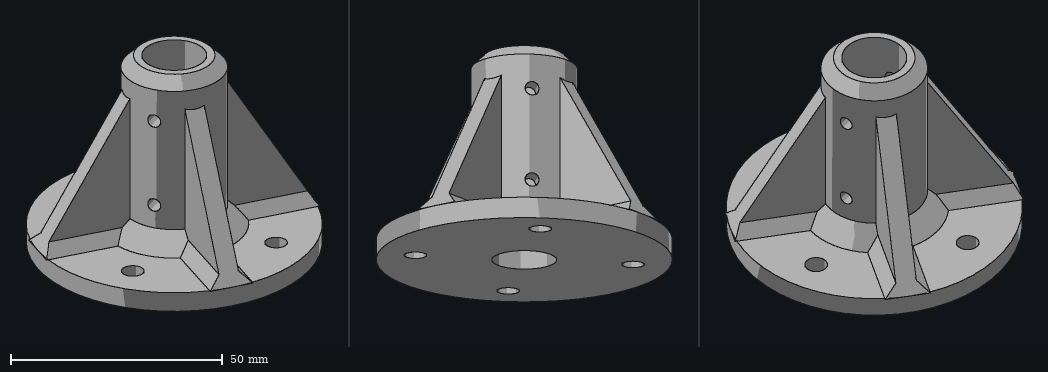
import cadquery as cq
import math

flange_diameter = 70.0
flange_thickness = 5.05
bolt_circle_diameter = 51.95
bolt_hole_diameter = 5.3
bolt_hole_count = 4

total_height = 50.0
tube_diameter = 25.3
bore_diameter = 15.3
tube_top_chamfer = 3.0
tube_foot_chamfer = 5.0

rib_count = 4
rib_thickness = 5.0
rib_foot_chamfer = 3.0
rib_top_height = 41.7

cross_hole_diameter = 3.3
cross_hole_heights = (16.1, 38.6)
cross_hole_angle = -45.0

flange_radius = flange_diameter / 2
tube_radius = tube_diameter / 2


def make_hub():
    """Flange, conical foot, tube and chamfered rim as one turned body."""
    return (
        cq.Workplane("XZ")
        .moveTo(0, 0)
        .lineTo(flange_radius, 0)
        .lineTo(flange_radius, flange_thickness)
        .lineTo(tube_radius + tube_foot_chamfer, flange_thickness)
        .lineTo(tube_radius, flange_thickness + tube_foot_chamfer)
        .lineTo(tube_radius, total_height - tube_top_chamfer)
        .lineTo(tube_radius - tube_top_chamfer, total_height)
        .lineTo(0, total_height)
        .close()
        .revolve(360, (0, 0, 0), (0, 1, 0))
    )


def make_rib():
    """Rib along +X: a wall with a flared foot, trimmed by its sloping edge."""
    half_wall = rib_thickness / 2
    half_foot = half_wall + rib_foot_chamfer
    foot_top = flange_thickness + rib_foot_chamfer
    wall_with_foot = (
        cq.Workplane("YZ")
        .polyline([
            (-half_foot, flange_thickness),
            (half_foot, flange_thickness),
            (half_wall, foot_top),
            (half_wall, total_height),
            (-half_wall, total_height),
            (-half_wall, foot_top),
        ])
        .close()
        .extrude(flange_radius)
    )

    slope = (rib_top_height - flange_thickness) / (flange_radius - tube_radius)
    inner_radius = math.sqrt(tube_radius**2 - half_wall**2)
    inner_height = flange_thickness + slope * (flange_radius - inner_radius)
    side_profile = (
        cq.Workplane("XZ")
        .polyline([
            (0, flange_thickness),
            (flange_radius, flange_thickness),
            (inner_radius, inner_height),
            (0, inner_height),
        ])
        .close()
        .extrude(half_foot, both=True)
    )
    return wall_with_foot.intersect(side_profile)


def make_cross_hole(height):
    """Pin hole passing through both walls of the tube."""
    return (
        cq.Workplane("YZ")
        .center(0, height)
        .circle(cross_hole_diameter / 2)
        .extrude(tube_diameter, both=True)
        .rotate((0, 0, 0), (0, 0, 1), cross_hole_angle)
    )


result = make_hub()

rib = make_rib()
for index in range(rib_count):
    result = result.union(rib.rotate((0, 0, 0), (0, 0, 1), index * 360 / rib_count))

bore = cq.Workplane("XY").circle(bore_diameter / 2).extrude(total_height)
result = result.cut(bore)

bolt_holes = (
    cq.Workplane("XY")
    .polarArray(bolt_circle_diameter / 2, 180 / bolt_hole_count, 360, bolt_hole_count)
    .circle(bolt_hole_diameter / 2)
    .extrude(flange_thickness)
)
result = result.cut(bolt_holes)

for hole_height in cross_hole_heights:
    result = result.cut(make_cross_hole(hole_height))